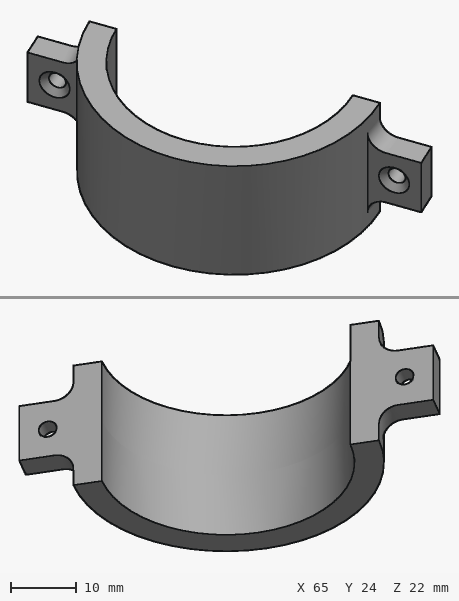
import cadquery as cq

overall_length = 65.0
outer_radius = 24.0
inner_radius = 19.5
ring_height = 22.0

tab_height = 10.0
tab_thickness = 4.0
tab_fillet = 3.0

hole_spacing = 56.0
hole_diameter = 2.8
countersink_diameter = 5.0
countersink_angle = 90.0

tolerance = 0.005


def half_cylinder(radius):
    """Half disc on the -Y side, extruded symmetrically about Z = 0."""
    return (
        cq.Workplane("XY")
        .moveTo(-radius, 0)
        .threePointArc((0, -radius), (radius, 0))
        .close()
        .extrude(ring_height / 2, both=True)
    )


def tab_bar():
    """Bar across the full length that forms both screw tabs."""
    return cq.Workplane("XY").box(
        overall_length, tab_thickness, tab_height
    ).translate((0, -tab_thickness / 2, 0))


def is_tab_root(edge):
    """True for the edges where a tab's top or bottom meets the ring."""
    center = edge.Center()
    on_tab_side = abs(abs(center.z) - tab_height / 2) < tolerance
    return on_tab_side and edge.geomType() == "CIRCLE"


body = half_cylinder(outer_radius).union(tab_bar())

root_edges = [edge for edge in body.edges().vals() if is_tab_root(edge)]
body = body.newObject(root_edges).fillet(tab_fillet)

bore = cq.Workplane("XY").circle(inner_radius).extrude(ring_height, both=True)
body = body.cut(bore)

result = (
    body.copyWorkplane(cq.Workplane("XZ", origin=(0, -tab_thickness, 0)))
    .pushPoints([(-hole_spacing / 2, 0), (hole_spacing / 2, 0)])
    .cskHole(hole_diameter, countersink_diameter, countersink_angle)
)